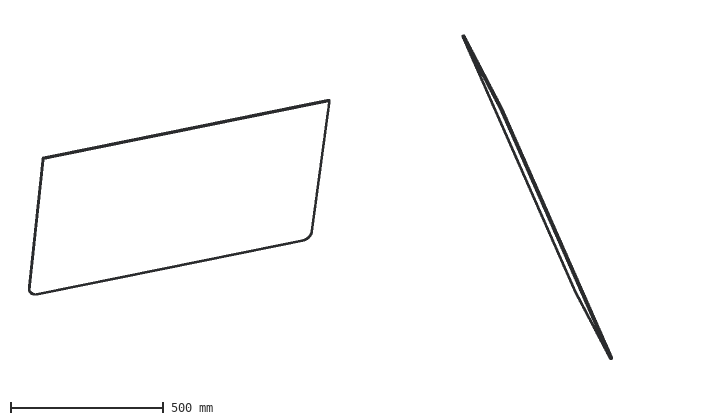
import cadquery as cq
import math

top_width = 1030.0
bottom_width = 1015.0
slant_height = 579.0
thickness = 5.0
corner_radius = 31.0

turn_angle = 6.7
lean_angle = 13.2

turn = math.radians(turn_angle)
lean = math.radians(lean_angle)

width_direction = (-math.sin(turn), math.cos(turn), 0)
plate_normal = (
    math.cos(lean) * math.cos(turn),
    math.cos(lean) * math.sin(turn),
    -math.sin(lean),
)
plate_plane = cq.Plane(origin=(0, 0, 0), xDir=width_direction, normal=plate_normal)


def make_plate():
    """Trapezoid centred on the plate plane, extruded to its thickness."""
    half_height = slant_height / 2
    outline = [
        (-top_width / 2, half_height),
        (top_width / 2, half_height),
        (bottom_width / 2, -half_height),
        (-bottom_width / 2, -half_height),
    ]
    return cq.Workplane(plate_plane).polyline(outline).close().extrude(thickness)


def round_lower_corners(plate):
    """Round the two corners at the lower end of the plate."""
    across_thickness = cq.selectors.ParallelDirSelector(cq.Vector(*plate_normal))
    lower_edges = plate.edges(across_thickness).filter(lambda edge: edge.Center().z < 0)
    return lower_edges.fillet(corner_radius)


result = round_lower_corners(make_plate())